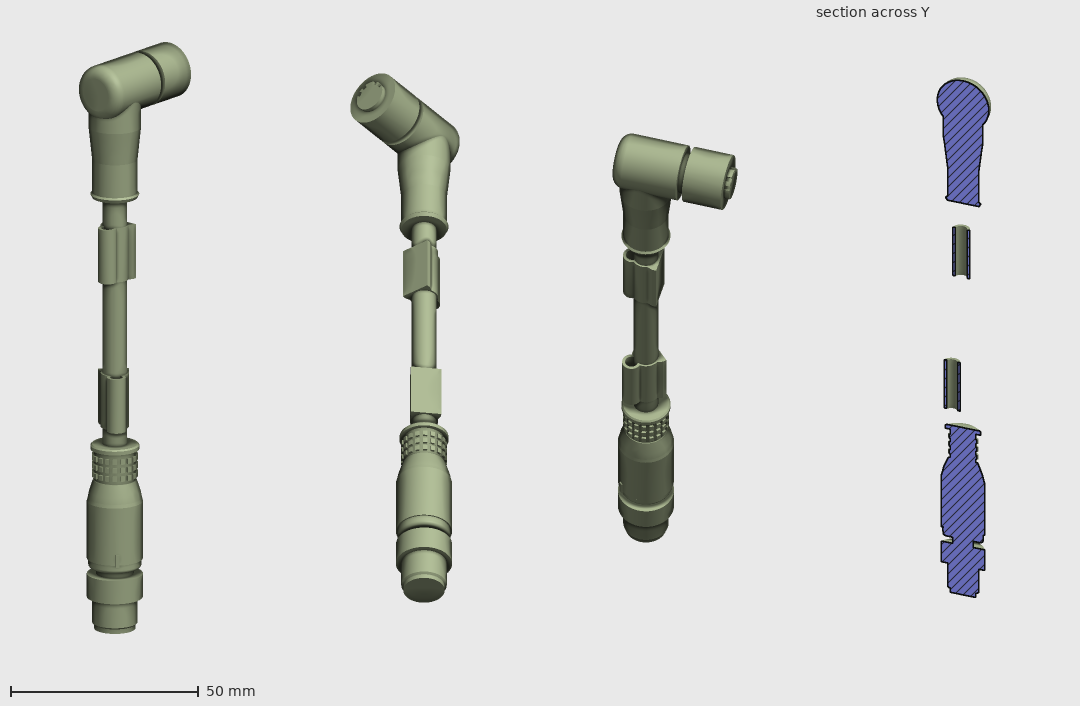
import cadquery as cq
import math

total_height = 157.5
body_diameter = 15.0
body_radius = body_diameter / 2

head_axis_z = total_height - body_radius
head_front_y = 24.1
head_back_y = -7.9
nut_front_y = 22.7
nut_back_y = 12.0
barrel_front_y = 10.2
barrel_round = 3.0
head_neck_radius = 5.4
insert_radius = 4.3
insert_notch_width = 1.3
insert_notch_depth = 1.0
insert_notch_angles = (30, 63, 117, 150)

stem_top_diameter = 14.0
stem_top_radius = stem_top_diameter / 2
stem_bottom_diameter = 12.1
stem_bottom_radius = stem_bottom_diameter / 2
stem_taper_top_z = 139.4
stem_taper_bottom_z = 130.4
stem_bottom_z = 119.9
lip_diameter = 13.0
lip_radius = lip_diameter / 2
lip_top_z = 121.3
lip_bottom_z = 120.8

cable_radius = 3.3
clip_height = 15.0
clip_ring_radius = 3.8
clip_back = 4.0
clip_back_half_width = 4.1
clip_back_thickness = 1.1
clip_blend_y = 1.4
label_tube_radius = 2.5
label_tube_wall = 0.8
upper_clip_bottom_z = 97.2
upper_clip_angle = 0
upper_tube_distance = 3.6
upper_tube_swing = 8
lower_clip_bottom_z = 56.0
lower_clip_angle = 45
lower_tube_distance = 4.4
lower_tube_swing = 0

relief_top_z = 51.3
relief_cap_bottom_z = 50.0
relief_core_radius = 5.5
relief_ring_radius = 6.1
relief_ring_height = 1.4
relief_ring_pitch = 2.4
relief_ring_count = 3
tooth_count = 18
tooth_gap = 1.0

shoulder_top_z = 41.5
shoulder_top_radius = 5.8
shoulder_mid_z = 39.2
shoulder_mid_radius = 6.6
shoulder_bottom_z = 36.4
shoulder_bottom_radius = 7.2
body_top_z = 35.5
body_bottom_z = 19.5
tail_radius = 7.1
tail_bottom_z = 17.0
tail_round = 1.0
plug_neck_radius = 5.0
plug_nut_top_z = 15.3
plug_nut_bottom_z = 8.8
plug_diameter = 12.1
plug_radius = plug_diameter / 2
plug_step_z = 1.7
plug_end_radius = 5.5
plug_end_chamfer = 0.5

mark_width = 1.1
mark_bottom_z = 19.0
mark_height = 3.5
mark_rise = 0.3
mark_angle = -45


def rod(radius, bottom_z, top_z):
    """Vertical cylinder on the cable axis."""
    return cq.Workplane("XY").workplane(offset=bottom_z).circle(radius).extrude(top_z - bottom_z)


def head_rod(radius, back_y, front_y):
    """Horizontal cylinder on the head axis."""
    plane = cq.Plane(origin=(0, back_y, head_axis_z), xDir=(1, 0, 0), normal=(0, 1, 0))
    return cq.Workplane(plane).circle(radius).extrude(front_y - back_y)


def make_head():
    barrel = head_rod(body_radius, head_back_y, barrel_front_y).faces("<Y").edges().fillet(barrel_round)
    neck = head_rod(head_neck_radius, barrel_front_y, nut_back_y)
    nut = head_rod(body_radius, nut_back_y, nut_front_y)
    insert = head_rod(insert_radius, nut_front_y, head_front_y)
    for angle in insert_notch_angles:
        notch = (
            cq.Workplane("XY")
            .box(2 * insert_notch_depth, head_front_y - nut_front_y, insert_notch_width)
            .translate((insert_radius, (head_front_y + nut_front_y) / 2, 0))
            .rotate((0, 0, 0), (0, 1, 0), -angle)
            .translate((0, 0, head_axis_z))
        )
        insert = insert.cut(notch)
    return barrel.union(neck).union(nut).union(insert)


def make_stem():
    profile = [
        (0, head_axis_z),
        (stem_top_radius, head_axis_z),
        (stem_top_radius, stem_taper_top_z),
        (stem_bottom_radius, stem_taper_bottom_z),
        (stem_bottom_radius, lip_top_z),
        (lip_radius, lip_bottom_z),
        (stem_bottom_radius, stem_bottom_z),
        (0, stem_bottom_z),
    ]
    return cq.Workplane("XZ").polyline(profile).close().revolve(360, (0, 0, 0), (0, 1, 0))


def make_clip(bottom_z, angle, tube_distance, tube_swing):
    """Ring with a flat back plate at +Y and a hollow label tube near -Y, turned about the cable."""
    base = cq.Workplane("XY").workplane(offset=bottom_z)
    blend_x = math.sqrt(clip_ring_radius**2 - clip_blend_y**2)
    plate_front_y = clip_back - clip_back_thickness
    ring = (
        base.moveTo(-blend_x, clip_blend_y)
        .lineTo(-clip_back_half_width, plate_front_y)
        .lineTo(-clip_back_half_width, clip_back)
        .lineTo(clip_back_half_width, clip_back)
        .lineTo(clip_back_half_width, plate_front_y)
        .lineTo(blend_x, clip_blend_y)
        .threePointArc((0, -clip_ring_radius), (-blend_x, clip_blend_y))
        .close()
        .extrude(clip_height)
    )
    swing = math.radians(tube_swing)
    tube_base = base.center(tube_distance * math.sin(swing), -tube_distance * math.cos(swing))
    tube = tube_base.circle(label_tube_radius).extrude(clip_height)
    bore = tube_base.circle(label_tube_radius - label_tube_wall).extrude(clip_height)
    return ring.union(tube).cut(bore).rotate((0, 0, 0), (0, 0, 1), angle)


def make_strain_relief():
    relief = rod(relief_core_radius, shoulder_top_z, relief_top_z)
    relief = relief.union(
        rod(lip_radius, relief_cap_bottom_z, relief_top_z)
        .faces(">Z").edges().chamfer(lip_radius - relief_ring_radius)
    )
    gap_length = 2 * (relief_ring_radius - relief_core_radius)
    gaps = (
        cq.Workplane("XY")
        .polarArray(relief_core_radius + gap_length / 2, 0, 360, tooth_count)
        .rect(gap_length, tooth_gap)
        .extrude(relief_ring_height)
    )
    ring = rod(relief_ring_radius, 0, relief_ring_height).cut(gaps)
    for index in range(relief_ring_count):
        ring_bottom_z = shoulder_top_z + (index + 1) * relief_ring_pitch - relief_ring_height
        relief = relief.union(ring.translate((0, 0, ring_bottom_z)))
    return relief


def make_plug():
    outline = (
        cq.Workplane("XZ")
        .moveTo(0, shoulder_top_z)
        .lineTo(shoulder_top_radius, shoulder_top_z)
        .threePointArc((shoulder_mid_radius, shoulder_mid_z), (shoulder_bottom_radius, shoulder_bottom_z))
        .lineTo(body_radius, body_top_z)
        .lineTo(body_radius, body_bottom_z)
        .lineTo(tail_radius, body_bottom_z)
        .lineTo(tail_radius, tail_bottom_z + tail_round)
        .radiusArc((tail_radius - tail_round, tail_bottom_z), tail_round)
        .lineTo(plug_neck_radius, tail_bottom_z)
        .lineTo(plug_neck_radius, plug_nut_top_z)
        .lineTo(body_radius, plug_nut_top_z)
        .lineTo(body_radius, plug_nut_bottom_z)
        .lineTo(plug_radius, plug_nut_bottom_z)
        .lineTo(plug_radius, plug_step_z)
        .lineTo(plug_end_radius, plug_step_z - plug_end_chamfer)
        .lineTo(plug_end_radius, 0)
        .lineTo(0, 0)
        .close()
    )
    return outline.revolve(360, (0, 0, 0), (0, 1, 0))


def make_mark():
    reach = body_radius + mark_rise
    bar_length = reach - plug_neck_radius
    return (
        cq.Workplane("XY")
        .box(bar_length, mark_width, mark_height)
        .translate((reach - bar_length / 2, 0, mark_bottom_z + mark_height / 2))
        .rotate((0, 0, 0), (0, 0, 1), mark_angle)
    )


upper_clip = make_clip(upper_clip_bottom_z, upper_clip_angle, upper_tube_distance, upper_tube_swing)
lower_clip = make_clip(lower_clip_bottom_z, lower_clip_angle, lower_tube_distance, lower_tube_swing)

result = upper_clip.union(lower_clip)
result = result.union(rod(cable_radius, relief_top_z, stem_bottom_z))
result = result.union(make_stem()).union(make_head())
result = result.union(make_strain_relief()).union(make_plug()).union(make_mark())